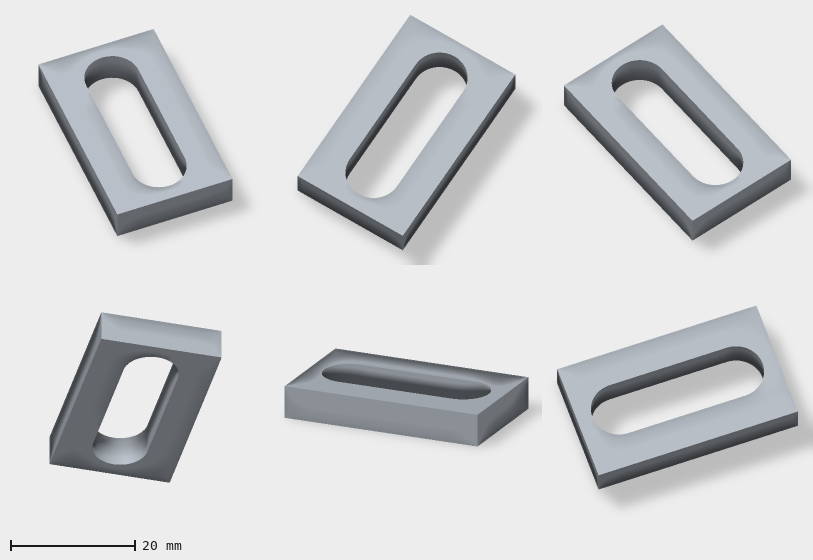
import cadquery as cq

length = 34.0
width = 20.0
thickness = 5.4

slot_length = 29.0
slot_width = 9.0

plate = cq.Workplane("XY").box(length, width, thickness)

result = plate.faces(">Z").workplane().slot2D(slot_length, slot_width).cutThruAll()